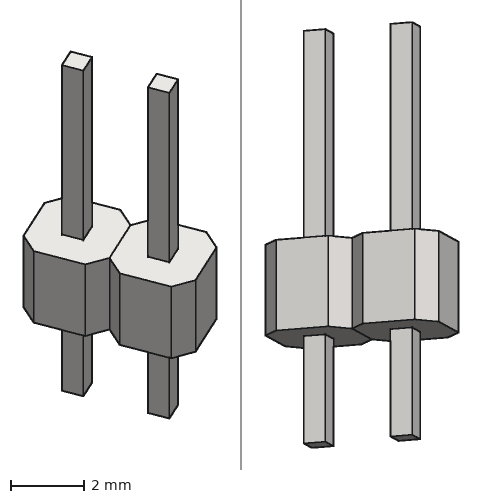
import cadquery as cq

pitch = 2.54
pin_count = 2
corner_chamfer = 0.51
pin_side = 0.63
pin_length = 11.54
tail_length = 3.0

housing_side = pitch
housing_height = pitch


def make_pin(x):
    """Square pin standing along Z, with the housing underside at Z = 0."""
    return (
        cq.Workplane("XY", origin=(x, 0, -tail_length))
        .rect(pin_side, pin_side)
        .extrude(pin_length)
    )


def make_housing(x):
    """Insulator block with chamfered vertical edges and a through hole that fits the pin."""
    block = (
        cq.Workplane("XY", origin=(x, 0, 0))
        .rect(housing_side, housing_side)
        .extrude(housing_height)
        .edges("|Z")
        .chamfer(corner_chamfer)
    )
    return block.cut(make_pin(x))


first_x = -(pin_count - 1) * pitch / 2
positions = [first_x + i * pitch for i in range(pin_count)]

housings = [make_housing(x).val() for x in positions]
pins = [make_pin(x).val() for x in positions]

result = cq.Compound.makeCompound([*housings, *pins])